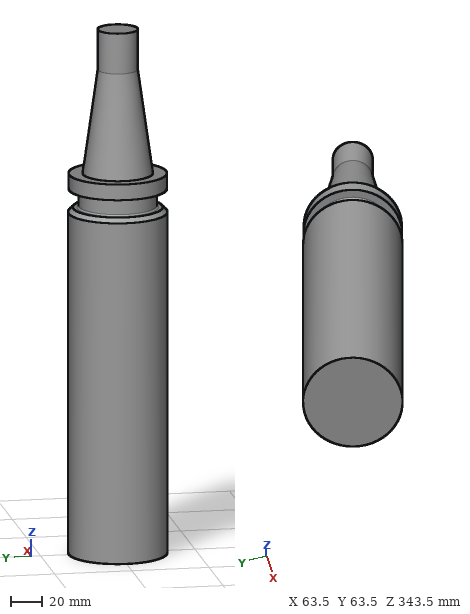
import cadquery as cq

total_length = 343.5
body_diameter = 63.5

body_shoulder_height = 223.5
body_chamfer_height = 3.0
body_top_diameter = 57.5

groove_diameter = 50.0
groove_top_height = 238.5
groove_fillet = 1.0

flange_diameter = 63.0
flange_top_height = 249.0

taper_base_diameter = 45.0
pilot_diameter = 25.8
pilot_length = 26.5

body_top_height = body_shoulder_height + body_chamfer_height
pilot_base_height = total_length - pilot_length
groove_radius = groove_diameter / 2
fillet_edge_radius = groove_radius + groove_fillet

profile = (
    cq.Workplane("XZ")
    .lineTo(body_diameter / 2, 0)
    .lineTo(body_diameter / 2, body_shoulder_height)
    .lineTo(body_top_diameter / 2, body_top_height)
    .lineTo(fillet_edge_radius, body_top_height)
    .radiusArc((groove_radius, body_top_height + groove_fillet), groove_fillet)
    .lineTo(groove_radius, groove_top_height - groove_fillet)
    .radiusArc((fillet_edge_radius, groove_top_height), groove_fillet)
    .lineTo(flange_diameter / 2, groove_top_height)
    .lineTo(flange_diameter / 2, flange_top_height)
    .lineTo(taper_base_diameter / 2, flange_top_height)
    .lineTo(pilot_diameter / 2, pilot_base_height)
    .lineTo(pilot_diameter / 2, total_length)
    .lineTo(0, total_length)
    .close()
)

result = profile.revolve(360, (0, 0, 0), (0, 1, 0))